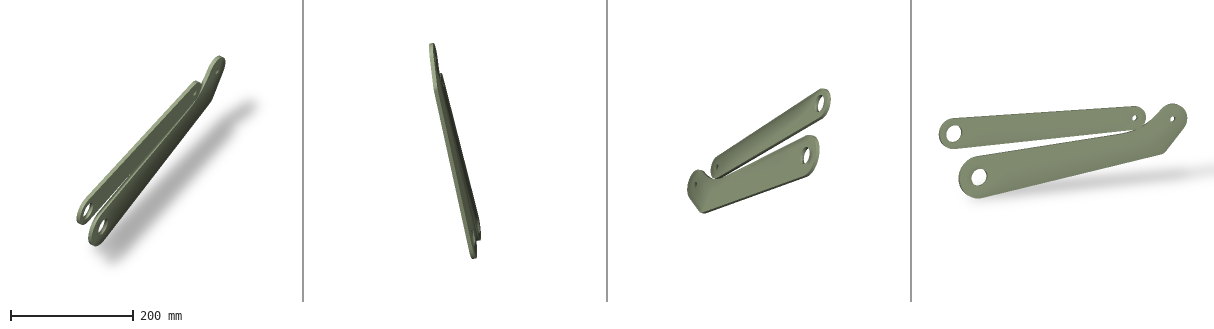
import cadquery as cq
import math

thickness = 6.5
pin_hole_diameter = 9.5
shaft_hole_diameter = 28.7

link_length = 318.0
link_shaft_radius = 25.2
link_pin_radius = 19.0
link_shaft_center = (0, 0)
link_pin_center = (link_length, 0)

arm_shaft_center = (44.5, -76.5)
arm_shaft_radius = 35.0
arm_pin_center = (385.0, -7.5)
arm_pin_radius = 25.2
knee_center = (362.5, -52.0)
knee_radius = 12.5
relief_radius = 104.5
upper_edge_angle = math.radians(3.8)

touching_tolerance = 4.35e-06


def point_on_circle(center, radius, angle):
    return (center[0] + radius * math.cos(angle), center[1] + radius * math.sin(angle))


def tangent_normal(start, end):
    """Angle of the outward normal of the common tangent; concave circles have negative radii."""
    (start_center, start_radius), (end_center, end_radius) = start, end
    dy = end_center[0] - start_center[0]
    dz = end_center[1] - start_center[1]
    ratio = (start_radius - end_radius) / math.hypot(dy, dz)
    return math.atan2(dz, dy) - math.acos(max(-1.0, min(1.0, ratio)))


def tangent_outline(circles):
    """Closed outline of arcs, listed counterclockwise, joined by their common tangents."""
    count = len(circles)
    normals = [tangent_normal(circles[i], circles[(i + 1) % count]) for i in range(count)]
    edges = []
    for i, (center, radius) in enumerate(circles):
        arrival = normals[i - 1]
        sweep = math.remainder(normals[i] - arrival, math.tau)
        if radius > 0:
            sweep %= math.tau
        arc_start, arc_middle, arc_end = [
            cq.Vector(0, *point_on_circle(center, radius, arrival + part * sweep)) for part in (0, 0.5, 1)
        ]
        edges.append(cq.Edge.makeThreePointArc(arc_start, arc_middle, arc_end))
        next_center, next_radius = circles[(i + 1) % count]
        line_end = cq.Vector(0, *point_on_circle(next_center, next_radius, normals[i]))
        if (line_end - arc_end).Length > touching_tolerance:
            edges.append(cq.Edge.makeLine(arc_end, line_end))
    return cq.Wire.assembleEdges(edges)


def make_bar(circles, shaft_center, pin_center):
    """Plate with the given outline, a large shaft hole and a small pin hole."""
    plate = cq.Workplane("YZ").add(tangent_outline(circles)).toPending().extrude(thickness)
    for center, diameter in ((shaft_center, shaft_hole_diameter), (pin_center, pin_hole_diameter)):
        hole = cq.Workplane("YZ").center(*center).circle(diameter / 2).extrude(thickness)
        plate = plate.cut(hole)
    return plate


def relief_center():
    """Centre of the concave arc, tangent to the pin end and to the upper straight edge."""
    along = (math.cos(upper_edge_angle), math.sin(upper_edge_angle))
    across = (-along[1], along[0])
    dy = arm_shaft_center[0] - arm_pin_center[0]
    dz = arm_shaft_center[1] - arm_pin_center[1]
    rise = dy * across[0] + dz * across[1] + arm_shaft_radius + relief_radius
    setback = math.sqrt((arm_pin_radius + relief_radius) ** 2 - rise ** 2)
    return (
        arm_pin_center[0] + rise * across[0] - setback * along[0],
        arm_pin_center[1] + rise * across[1] - setback * along[1],
    )


link = make_bar(
    [(link_shaft_center, link_shaft_radius), (link_pin_center, link_pin_radius)],
    link_shaft_center,
    link_pin_center,
)

arm = make_bar(
    [
        (arm_shaft_center, arm_shaft_radius),
        (knee_center, knee_radius),
        (arm_pin_center, arm_pin_radius),
        (relief_center(), -relief_radius),
    ],
    arm_shaft_center,
    arm_pin_center,
)

result = cq.Compound.makeCompound([link.solids().val(), arm.solids().val()])